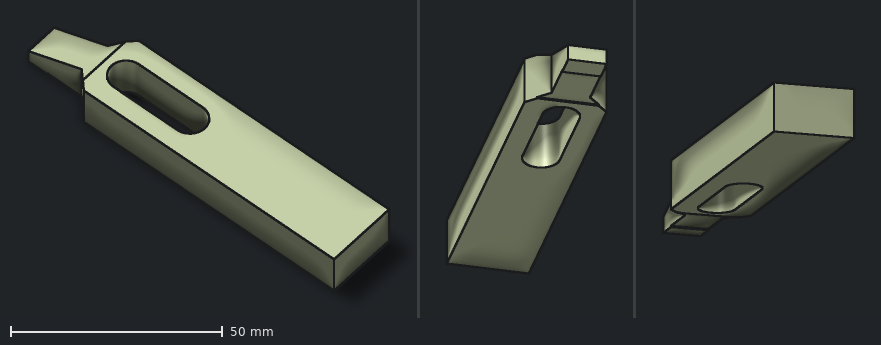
import cadquery as cq

length = 100.0
width = 20.0
height = 12.0

nose_width = 9.4
tip_height = 4.0
slope_end = 19.7
shoulder_end = 22.0
shoulder_depth = (width - nose_width) / 2
shoulder_start = shoulder_end - shoulder_depth

pad_length = 6.0
relief_end = 19.5
relief_depth = 0.3

slot_start = shoulder_end
slot_length = 29.0
slot_width = 9.0


def plan_body():
    """Bar with a narrow nose and 45 degree shoulders, centred on Y."""
    half_profile = [
        (0, 0),
        (0, nose_width / 2),
        (shoulder_start, nose_width / 2),
        (shoulder_end, width / 2),
        (length, width / 2),
        (length, 0),
    ]
    return cq.Workplane("XY").polyline(half_profile).mirrorX().extrude(height)


def side_body():
    """Side profile with the sloping nose and the underside relief."""
    profile = [
        (0, 0),
        (pad_length, 0),
        (pad_length, relief_depth),
        (relief_end, relief_depth),
        (relief_end, 0),
        (length, 0),
        (length, height),
        (slope_end, height),
        (0, tip_height),
    ]
    return cq.Workplane("XZ").polyline(profile).close().extrude(width / 2, both=True)


def clamping_slot():
    """Round-ended slot through the full height."""
    return (
        cq.Workplane("XY")
        .center(slot_start + slot_length / 2, 0)
        .slot2D(slot_length, slot_width)
        .extrude(height)
    )


result = plan_body().intersect(side_body()).cut(clamping_slot())